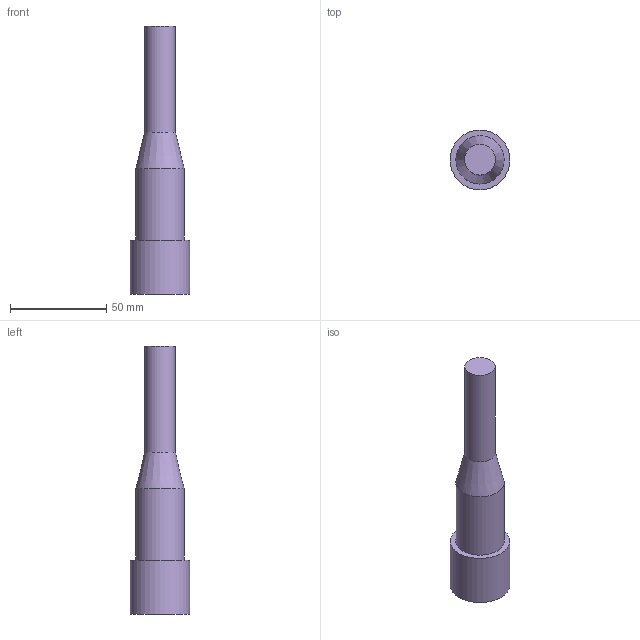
import cadquery as cq

head_diameter = 31.0
body_diameter = 25.0
pin_diameter = 16.0

head_length = 28.0
body_length = 37.0
taper_length = 19.0
total_length = 139.0

body_base = head_length
taper_base = body_base + body_length
pin_base = taper_base + taper_length


def stepped_pin():
    """Revolve the half profile: head, body, taper and pin on one axis."""
    head_radius = head_diameter / 2
    body_radius = body_diameter / 2
    pin_radius = pin_diameter / 2
    half_profile = (
        cq.Workplane("XZ")
        .moveTo(0, 0)
        .lineTo(head_radius, 0)
        .lineTo(head_radius, body_base)
        .lineTo(body_radius, body_base)
        .lineTo(body_radius, taper_base)
        .lineTo(pin_radius, pin_base)
        .lineTo(pin_radius, total_length)
        .lineTo(0, total_length)
        .close()
    )
    return half_profile.revolve(360, (0, 0, 0), (0, 1, 0))


result = stepped_pin()